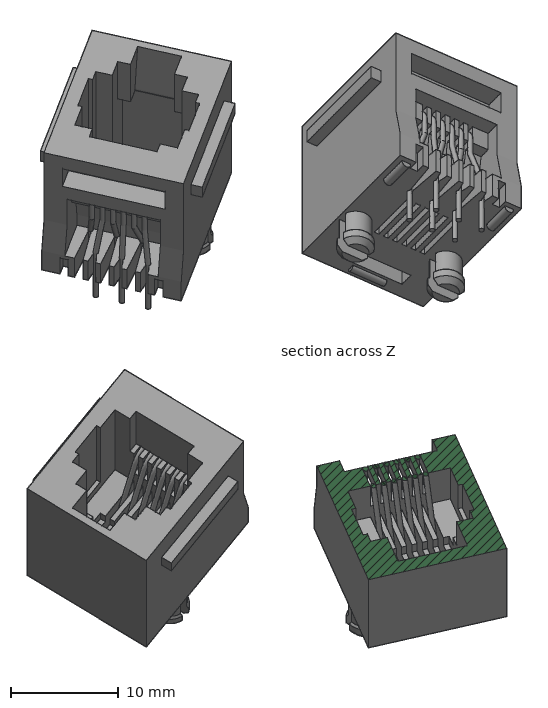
import cadquery as cq
import math

BODY_WIDTH = 13.52
BODY_DEPTH = 15.75
BODY_HEIGHT = 15.75
FOOT_REACH = 0.75
FOOT_HEIGHT = 2.7
FOOT_SLOPE_TOP = 6.25

OVERALL_WIDTH = 15.7
RAIL_LENGTH = 10.77
RAIL_BOTTOM = 11.48
RAIL_HEIGHT = 1.41

PLUG_WIDTH = 9.95
PLUG_FRONT = 4.1
PLUG_LEDGE_START = 9.93
PLUG_BACK = 10.95
PLUG_FLOOR = 4.9
LEDGE_FLOOR = 5.88
KEY_WIDTH = 10.77
KEY_FRONT = 6.46
NOTCH_WIDTH = 6.56
NOTCH_FRONT = 3.1

LATCH_WIDTH = 6.74
LATCH_FRONT = 8.74
LATCH_BACK = 12.71
LATCH_FLOOR = 3.92
LEVER_WIDTH = 4.25
LEVER_TOP_BACK = 15.03
LEVER_BOTTOM_BACK = 14.16
LEVER_SLOPE_END = 10.75
CHAMBER_BACK = 14.22
CHAMBER_CEILING = 10.48

LABEL_BOTTOM = 11.58
LABEL_TOP = 14.05
LABEL_DEPTH = 2.02

BAY_WIDTH = 9.03
BAY_TOP = 9.87
BAY_UPPER_BACK = 1.49
BAY_MIDDLE_BACK = 2.66
BAY_LOWER_BACK = 3.21
BAY_LEDGE_HEIGHT = 7.85
BAY_SLOPE_BOTTOM = 4.17

FOOT_SLOT_OUTER = PLUG_WIDTH / 2
FOOT_SLOT_WIDTH = 0.78
FOOT_SLOT_HEIGHT = 2.25
FOOT_SLOT_DEPTH = 1.0

CONTACT_COUNT = 6
WIRE_DIAMETER = 0.5
UPPER_PITCH = 1.02
LEG_SPAN = 6.33
LEG_PITCH = LEG_SPAN / (CONTACT_COUNT - 1)
FRONT_LEG_Y = 0.55
REAR_LEG_Y = 3.1
LEG_BOTTOM = -3.47
UPPER_Y = BAY_UPPER_BACK
SPLAY_TOP = 6.35
BEND_RADIUS = 1.45
WIRE_TOP = 9.8
TAIL_ANGLE = 66.0
TAIL_END_Y = 7.01

WIRE_SLOT_WIDTH = WIRE_DIAMETER
WIRE_SLOT_BACK = 9.56

ENTRY_THROAT = 0.22
FRONT_ENTRY_MOUTH = 0.75
REAR_ENTRY_MOUTH = 0.82

POST_X = 5.03
POST_Y = 9.36
POST_DIAMETER = 3.1
POST_HEAD_DIAMETER = 3.5
POST_TIP_DIAMETER = 2.55
POST_NECK_END = -2.25
POST_HEAD_TOP = -2.47
POST_HEAD_BOTTOM = -3.25
POST_TIP = -3.84
POST_SPLIT = 0.98

SIDE_STANDOFF_X = 5.74
SIDE_STANDOFF_RADIUS = 0.47
SIDE_STANDOFF_Z = -0.08
SIDE_STANDOFF_FRONT = -0.24
SIDE_STANDOFF_BACK = 2.86
REAR_STANDOFF_Y = 14.9
REAR_STANDOFF_RADIUS = 0.4
REAR_STANDOFF_LENGTH = 3.8


def block(width, y_range, z_range, x_center=0):
    """Box centred on x_center that spans the given Y and Z ranges."""
    y0, y1 = y_range
    z0, z1 = z_range
    return cq.Workplane("XY").box(width, y1 - y0, z1 - z0, centered=(True, False, False)).translate(
        (x_center, y0, z0)
    )


def side_profile(points, width, x_center=0):
    """Extrude a closed YZ outline symmetrically about x_center."""
    return cq.Workplane("YZ").polyline(points).close().extrude(width / 2, both=True).translate((x_center, 0, 0))


def make_shell():
    outline = [
        (BODY_DEPTH, 0),
        (BODY_DEPTH, BODY_HEIGHT),
        (0, BODY_HEIGHT),
        (0, FOOT_SLOPE_TOP),
        (-FOOT_REACH, FOOT_HEIGHT),
        (-FOOT_REACH, 0),
    ]
    rail_front = (BODY_DEPTH - RAIL_LENGTH) / 2
    rails = block(
        OVERALL_WIDTH, (rail_front, rail_front + RAIL_LENGTH), (RAIL_BOTTOM, RAIL_BOTTOM + RAIL_HEIGHT)
    )
    return side_profile(outline, BODY_WIDTH).union(rails)


def make_plug_cavity():
    cavity = block(PLUG_WIDTH, (PLUG_FRONT, PLUG_LEDGE_START), (PLUG_FLOOR, BODY_HEIGHT))
    ledge = block(PLUG_WIDTH, (PLUG_FRONT, PLUG_BACK), (LEDGE_FLOOR, BODY_HEIGHT))
    key = block(KEY_WIDTH, (KEY_FRONT, PLUG_LEDGE_START), (LEDGE_FLOOR, BODY_HEIGHT))
    notch = block(NOTCH_WIDTH, (NOTCH_FRONT, PLUG_FRONT), (BAY_TOP, BODY_HEIGHT))
    return cavity.union(ledge).union(key).union(notch)


def make_latch_recess():
    recess = block(LATCH_WIDTH, (LATCH_FRONT, LATCH_BACK), (LATCH_FLOOR, BODY_HEIGHT))
    lever_outline = [
        (LATCH_BACK, 0),
        (LATCH_BACK, BODY_HEIGHT),
        (LEVER_TOP_BACK, BODY_HEIGHT),
        (LEVER_BOTTOM_BACK, LEVER_SLOPE_END),
        (LEVER_BOTTOM_BACK, 0),
    ]
    lever = side_profile(lever_outline, LEVER_WIDTH)
    chamber = block(LATCH_WIDTH, (LATCH_BACK, CHAMBER_BACK), (0, CHAMBER_CEILING))
    return recess.union(lever).union(chamber)


def make_label_pocket():
    return block(PLUG_WIDTH, (0, LABEL_DEPTH), (LABEL_BOTTOM, LABEL_TOP))


def make_contact_bay():
    outline = [
        (-FOOT_REACH, FOOT_HEIGHT),
        (-FOOT_REACH, BAY_TOP),
        (BAY_UPPER_BACK, BAY_TOP),
        (BAY_UPPER_BACK, BAY_LEDGE_HEIGHT),
        (BAY_MIDDLE_BACK, BAY_LEDGE_HEIGHT),
        (BAY_LOWER_BACK, BAY_SLOPE_BOTTOM),
        (BAY_LOWER_BACK, FOOT_HEIGHT),
    ]
    return side_profile(outline, BAY_WIDTH)


def make_foot_slot(side):
    x_center = side * (FOOT_SLOT_OUTER - FOOT_SLOT_WIDTH / 2)
    y_range = (-FOOT_REACH, FOOT_SLOT_DEPTH - FOOT_REACH)
    return block(FOOT_SLOT_WIDTH, y_range, (0, FOOT_SLOT_HEIGHT), x_center)


def make_wire_slot(x):
    """Slot through the cavity wall that continues down through the cavity floor."""
    outline = [
        (0, BAY_TOP),
        (0, SPLAY_TOP),
        (PLUG_FRONT, SPLAY_TOP),
        (PLUG_FRONT, 0),
        (WIRE_SLOT_BACK, 0),
        (WIRE_SLOT_BACK, BAY_TOP),
    ]
    return side_profile(outline, WIRE_SLOT_WIDTH, x)


def make_leg_entry(x, leg_y, mouth):
    """Tapered slot from the foot's front face to the leg, with a round seat for the leg."""
    outline = [
        (x - mouth / 2, -FOOT_REACH),
        (x + mouth / 2, -FOOT_REACH),
        (x + ENTRY_THROAT / 2, leg_y),
        (x - ENTRY_THROAT / 2, leg_y),
    ]
    taper = cq.Workplane("XY").polyline(outline).close().extrude(FOOT_HEIGHT)
    seat = cq.Workplane("XY").center(x, leg_y).circle(WIRE_DIAMETER / 2).extrude(FOOT_HEIGHT)
    return taper.union(seat)


def make_snap_post(side):
    half_profile = [
        (0, 0),
        (POST_DIAMETER / 2, 0),
        (POST_DIAMETER / 2, POST_NECK_END),
        (POST_HEAD_DIAMETER / 2, POST_HEAD_TOP),
        (POST_HEAD_DIAMETER / 2, POST_HEAD_BOTTOM),
        (POST_TIP_DIAMETER / 2, POST_TIP),
        (0, POST_TIP),
    ]
    post = cq.Workplane("XZ").polyline(half_profile).close().revolve(360, (0, 0, 0), (0, 1, 0))
    split = block(POST_HEAD_DIAMETER, (-POST_SPLIT / 2, POST_SPLIT / 2), (POST_TIP, 0))
    return post.cut(split).translate((side * POST_X, POST_Y, 0))


def make_side_standoff(side):
    length = SIDE_STANDOFF_BACK - SIDE_STANDOFF_FRONT
    rod = cq.Workplane("XZ").circle(SIDE_STANDOFF_RADIUS).extrude(-length)
    return rod.translate((side * SIDE_STANDOFF_X, SIDE_STANDOFF_FRONT, SIDE_STANDOFF_Z))


def make_rear_standoff():
    rod = cq.Workplane("YZ").circle(REAR_STANDOFF_RADIUS).extrude(REAR_STANDOFF_LENGTH / 2, both=True)
    return rod.translate((0, REAR_STANDOFF_Y, 0))


def make_contact(upper_x, leg_x, leg_y):
    """Round wire: leg, splayed stretch, straight riser, bend over the wall, tail down into the cavity."""
    bend_y = UPPER_Y + BEND_RADIUS
    bend_z = WIRE_TOP - WIRE_DIAMETER / 2 - BEND_RADIUS
    tail = math.radians(TAIL_ANGLE)
    bend_end_y = bend_y + BEND_RADIUS * math.sin(tail)
    bend_end_z = bend_z + BEND_RADIUS * math.cos(tail)
    tail_end_z = bend_end_z - (TAIL_END_Y - bend_end_y) * math.tan(tail)
    leg_bottom = cq.Vector(leg_x, leg_y, LEG_BOTTOM)
    leg_top = cq.Vector(leg_x, leg_y, FOOT_HEIGHT)
    riser_bottom = cq.Vector(upper_x, UPPER_Y, SPLAY_TOP)
    riser_top = cq.Vector(upper_x, UPPER_Y, bend_z)
    bend_top = cq.Vector(upper_x, bend_y, bend_z + BEND_RADIUS)
    bend_end = cq.Vector(upper_x, bend_end_y, bend_end_z)
    tail_end = cq.Vector(upper_x, TAIL_END_Y, tail_end_z)
    path = cq.Wire.assembleEdges(
        [
            cq.Edge.makeLine(leg_bottom, leg_top),
            cq.Edge.makeLine(leg_top, riser_bottom),
            cq.Edge.makeLine(riser_bottom, riser_top),
            cq.Edge.makeThreePointArc(riser_top, bend_top, bend_end),
            cq.Edge.makeLine(bend_end, tail_end),
        ]
    )
    section = cq.Workplane("XY", origin=leg_bottom.toTuple()).circle(WIRE_DIAMETER / 2)
    return section.sweep(cq.Workplane(path), transition="right")


housing = make_shell()
housing = housing.cut(make_plug_cavity()).cut(make_latch_recess()).cut(make_contact_bay())
housing = housing.cut(make_label_pocket())
for side in (-1, 1):
    housing = housing.cut(make_foot_slot(side))
    housing = housing.union(make_snap_post(side)).union(make_side_standoff(side))
housing = housing.union(make_rear_standoff())

contacts = []
for index in range(CONTACT_COUNT):
    place = index - (CONTACT_COUNT - 1) / 2
    upper_x = place * UPPER_PITCH
    leg_x = place * LEG_PITCH
    in_rear_row = index % 2 == 0
    leg_y = REAR_LEG_Y if in_rear_row else FRONT_LEG_Y
    mouth = REAR_ENTRY_MOUTH if in_rear_row else FRONT_ENTRY_MOUTH
    contact = make_contact(upper_x, leg_x, leg_y)
    housing = housing.cut(make_wire_slot(upper_x)).cut(make_leg_entry(leg_x, leg_y, mouth)).cut(contact)
    contacts.append(contact.val())

result = cq.Compound.makeCompound([*housing.solids().vals(), *contacts])